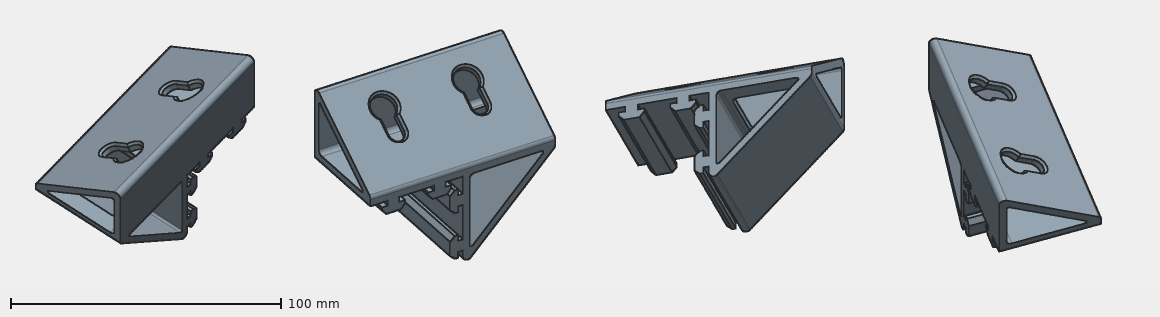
import cadquery as cq
import math

length = 80
width = 40
wall = 3.0
outer_fillet = 2.0
inner_fillet = 2.0
sharp_fillet = 0.7

slope_angle = 35
front_edge_height = 4
slope_wall = 3.2

leg_depth = 40

rail_first = 10.0
rail_pitch = 20
neck_width = 5.0
neck_height = 2.1
head_width = 10.0
head_side = 1.4
head_tip_width = 6.2
rail_height = 5.6

keyhole_spacing = 36
keyhole_entry_distance = 32.2
keyhole_travel = 11.2
entry_diameter = 10.6
slot_width = 6.6
keyhole_chamfer = 1.0
chamfer_angle = 45

window_margin = 6.6
window_corner = 3.0

slope = math.tan(math.radians(slope_angle))
slope_cos = math.cos(math.radians(slope_angle))
slope_sin = math.sin(math.radians(slope_angle))


def prism_along_y(points):
    """Prism over the full length from an X-Z outline."""
    return cq.Workplane("XZ").polyline(points).close().extrude(length / 2, both=True)


def prism_along_x(points):
    """Prism over the full width from a Y-Z outline."""
    return cq.Workplane("YZ").polyline(points).close().extrude(width)


def round_edge(body, direction, point, radius):
    """Fillet the edge parallel to an axis that has its middle nearest to the given point."""
    return body.edges("|" + direction).edges(cq.selectors.NearestToPointSelector(point)).fillet(radius)


def make_housing():
    """Solid wedge under the sloped mounting face."""
    peak = front_edge_height + width * slope
    housing = prism_along_y([(0, 0), (width, 0), (width, peak), (0, front_edge_height)])
    for x, z in [(0, front_edge_height), (width, peak)]:
        housing = round_edge(housing, "Y", (x, 0, z), outer_fillet)
    return housing


def make_housing_tunnel():
    """Triangular opening that runs through the housing along Y."""
    ceiling_start = front_edge_height - slope_wall / slope_cos
    tip_x = (wall - ceiling_start) / slope
    back_x = width - wall
    peak = ceiling_start + back_x * slope
    tunnel = prism_along_y([(tip_x, wall), (back_x, wall), (back_x, peak)])
    tunnel = round_edge(tunnel, "Y", (back_x, 0, wall), inner_fillet)
    for x, z in [(tip_x, wall), (back_x, peak)]:
        tunnel = round_edge(tunnel, "Y", (x, 0, z), sharp_fillet)
    return tunnel


def make_leg_opening():
    """Triangular opening between the leg, the brace and the floor, along X."""
    side = leg_depth - wall - wall * math.sqrt(2)
    far_y = -wall - side
    middle = width / 2
    opening = prism_along_x([(-wall, 0), (-wall, -side), (far_y, 0)])
    opening = round_edge(opening, "X", (middle, -wall, 0), inner_fillet)
    for y, z in [(-wall, -side), (far_y, 0)]:
        opening = round_edge(opening, "X", (middle, y, z), sharp_fillet)
    return opening


def make_rail(distance, on_leg):
    """T-shaped rail centred at a distance from the inner corner, on the leg or under the floor."""
    half_profile = [
        (neck_width / 2, 0),
        (neck_width / 2, neck_height),
        (head_width / 2, neck_height),
        (head_width / 2, neck_height + head_side),
        (head_tip_width / 2, rail_height),
    ]
    mirrored = [(-across, out) for across, out in reversed(half_profile)]
    profile = half_profile + mirrored
    if on_leg:
        return prism_along_x([(out, across - distance) for across, out in profile])
    return prism_along_x([(distance + across, -out) for across, out in profile])


def make_keyhole(y):
    """Keyhole cutter, normal to the slope, with a chamfer around its mouth."""
    face = cq.Plane(
        origin=(0, y, front_edge_height),
        xDir=(slope_cos, 0, slope_sin),
        normal=(-slope_sin, 0, slope_cos),
    )

    def cutter(extra, depth, taper):
        """Keyhole grown outward by an extra margin and sunk from the face."""
        entry = (
            cq.Workplane(face)
            .center(keyhole_entry_distance, 0)
            .circle(entry_diameter / 2 + extra)
            .extrude(-depth, taper=taper)
        )
        slot = (
            cq.Workplane(face)
            .center(keyhole_entry_distance - keyhole_travel / 2, 0)
            .slot2D(keyhole_travel + slot_width + 2 * extra, slot_width + 2 * extra)
            .extrude(-depth, taper=taper)
        )
        return entry.union(slot)

    through = cutter(0, slope_wall + keyhole_chamfer, 0)
    mouth = cutter(keyhole_chamfer, keyhole_chamfer, chamfer_angle)
    return through.union(mouth)


def make_floor_window():
    """Rounded rectangular opening through the floor, above the leg opening."""
    return (
        cq.Workplane("XY")
        .center(width / 2, -leg_depth / 2)
        .rect(width - 2 * window_margin, leg_depth - 2 * window_margin)
        .extrude(wall)
        .edges("|Z")
        .fillet(window_corner)
    )


leg = prism_along_x([(0, 0), (0, -leg_depth), (-leg_depth, 0)])
result = make_housing().union(leg)
for brace_y, brace_z in [(0, -leg_depth), (-leg_depth, 0)]:
    result = round_edge(result, "X", (width / 2, brace_y, brace_z), outer_fillet)

result = result.cut(make_housing_tunnel()).cut(make_leg_opening())

for rail_index in range(2):
    rail_distance = rail_first + rail_index * rail_pitch
    for rail_on_leg in (False, True):
        result = result.union(make_rail(rail_distance, rail_on_leg))

for keyhole_y in (-keyhole_spacing / 2, keyhole_spacing / 2):
    result = result.cut(make_keyhole(keyhole_y))

result = result.cut(make_floor_window())